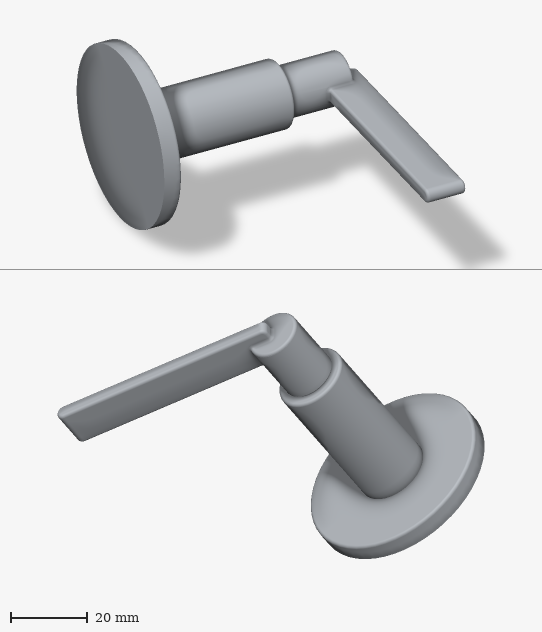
import cadquery as cq

base_diameter = 50.3
base_thickness = 5.1
collar_diameter = 19.1
collar_end = 46.2
groove_diameter = 13.3
groove_width = 0.6
spindle_diameter = 14.3
spindle_end = 64.8
edge_radius = 0.8

total_length = 88.65
total_height = 68.6
lever_width = 11.3
lever_thickness = 4.0
lever_corner_radius = 1.5
lever_edge_radius = 0.8
joint_radius = 0.8
lever_tip = total_length - base_diameter / 2
lever_bottom = total_height - lever_width


def disc(diameter, start, end):
    """Solid cylinder on the Y axis between two Y positions."""
    plane = cq.Plane(origin=(0, start, 0), xDir=(1, 0, 0), normal=(0, 1, 0))
    return cq.Workplane(plane).circle(diameter / 2).extrude(end - start)


def rounded_disc(diameter, start, end):
    """Cylinder with its outer (+Y) rim rounded."""
    return disc(diameter, start, end).faces(">Y").edges().fillet(edge_radius)


def make_stem():
    spindle_start = collar_end + groove_width
    base = rounded_disc(base_diameter, 0, base_thickness)
    collar = rounded_disc(collar_diameter, base_thickness, collar_end)
    groove = disc(groove_diameter, collar_end, spindle_start)
    spindle = rounded_disc(spindle_diameter, spindle_start, spindle_end)
    return base.union(collar).union(groove).union(spindle)


def make_lever():
    """Bar with a full-round tip, a rounded top corner and softened edges."""
    half_thickness = lever_thickness / 2
    tip_center = lever_tip - half_thickness
    plane = cq.Plane(origin=(0, lever_bottom, 0), xDir=(1, 0, 0), normal=(0, 1, 0))
    bar = (
        cq.Workplane(plane)
        .moveTo(0, -half_thickness)
        .lineTo(tip_center, -half_thickness)
        .threePointArc((lever_tip, 0), (tip_center, half_thickness))
        .lineTo(0, half_thickness)
        .close()
        .extrude(lever_width)
    )
    bar = bar.faces("<X").edges(">Y").fillet(lever_corner_radius)
    bar = bar.faces(">Y").edges(">Z").fillet(lever_edge_radius)
    return bar.faces("<Y").edges("not <X").fillet(lever_edge_radius)


def blend_joint(body):
    """Round the inside corner all around where the lever meets the spindle."""
    margin = 0.1
    joint_region = cq.selectors.BoxSelector(
        (-margin, lever_bottom - margin, -lever_thickness / 2 - margin),
        (spindle_diameter / 2 + margin, spindle_end + margin, lever_thickness / 2 + margin),
    )
    return body.edges(joint_region).fillet(joint_radius)


result = blend_joint(make_stem().union(make_lever()))